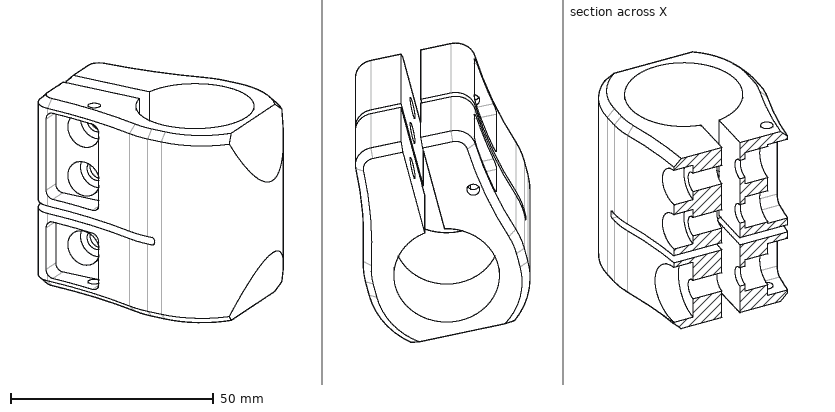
import cadquery as cq
import math

length = 60.2
height = 50.0
width = 40.4
half_width = width / 2
edge_chamfer = 2.0

barrel_radius = half_width
flat_length = 3.85
flat_end_x = length - barrel_radius
flat_start_x = flat_end_x - flat_length
ear_flat_half_width = 10.2
ear_corner_radius = 5.0
flank_start_angle = 2.4

nose_slope_height = 15.35
nose_slope_angle = 20.0

bore_x = (flat_start_x + flat_end_x) / 2
bore_diameter = 26.1
counterbore_diameter = 29.25
gap_width = 5.0
cross_slot_bottom = 20.0
cross_slot_width = 2.0
cross_slot_corner_radius = 0.7

screw_x = 12.3
screws = [(10.55, 16.0), (29.0, 10.0), (42.0, 10.0)]
screw_hole_diameter = 5.3
screw_head_diameter = 9.0
screw_head_depth = 6.3
spot_face_y = 10.5

pocket_start_x = 4.35
pocket_end_x = 20.35
pocket_floor_y = -10.3
pocket_corner_radius = 2.0
pockets = [(2.95, 18.0), (24.1, 47.1)]

pin_x = 16.25
pin_y = -12.0
pin_diameter = 3.1


def box(x_range, y_range, z_range):
    size = [end - start for start, end in (x_range, y_range, z_range)]
    corner = (x_range[0], y_range[0], z_range[0])
    return cq.Workplane("XY").box(*size, centered=False).translate(corner)


def cylinder_y(x, z, diameter, y_start, y_end):
    axis = cq.Vector(0, 1, 0)
    solid = cq.Solid.makeCylinder(diameter / 2, y_end - y_start, cq.Vector(x, y_start, z), axis)
    return cq.Workplane(obj=solid)


def cylinder_z(x, y, diameter, z_start, z_end):
    solid = cq.Solid.makeCylinder(diameter / 2, z_end - z_start, cq.Vector(x, y, z_start))
    return cq.Workplane(obj=solid)


def make_body():
    tilt = math.radians(flank_start_angle)
    corner_center = (ear_corner_radius, ear_flat_half_width)
    barrel_center = (flat_start_x, 0)
    offset_x = corner_center[0] - barrel_center[0]
    offset_y = corner_center[1] - barrel_center[1]
    radius_change = barrel_radius - ear_corner_radius
    normal_offset = offset_y * math.cos(tilt) - offset_x * math.sin(tilt)
    center_gap = (offset_x**2 + offset_y**2 - radius_change**2) / (2 * (radius_change - normal_offset))
    flank_radius = center_gap - ear_corner_radius
    flank_center = (
        corner_center[0] - center_gap * math.sin(tilt),
        corner_center[1] + center_gap * math.cos(tilt),
    )
    run = barrel_center[0] - flank_center[0]
    flank_end_tilt = math.asin(run / (flank_radius + barrel_radius))

    def arc_point(center, radius, angle):
        return center[0] - radius * math.sin(angle), center[1] + radius * math.cos(angle)

    def mirrored(point):
        return point[0], -point[1]

    corner_start = (0, ear_flat_half_width)
    corner_middle = arc_point(corner_center, ear_corner_radius, (math.pi / 2 + tilt) / 2)
    flank_start = arc_point(corner_center, ear_corner_radius, tilt)
    flank_middle = arc_point(flank_center, -flank_radius, (tilt + flank_end_tilt) / 2)
    flank_end = arc_point(barrel_center, barrel_radius, flank_end_tilt)
    barrel_middle = arc_point(barrel_center, barrel_radius, flank_end_tilt / 2)
    flat_start = (flat_start_x, half_width)
    flat_end = (flat_end_x, half_width)

    outline = (
        cq.Workplane("XY")
        .moveTo(*corner_start)
        .threePointArc(corner_middle, flank_start)
        .threePointArc(flank_middle, flank_end)
        .threePointArc(barrel_middle, flat_start)
        .lineTo(*flat_end)
        .threePointArc((length, 0), mirrored(flat_end))
        .lineTo(*mirrored(flat_start))
        .threePointArc(mirrored(barrel_middle), mirrored(flank_end))
        .threePointArc(mirrored(flank_middle), mirrored(flank_start))
        .threePointArc(mirrored(corner_middle), mirrored(corner_start))
        .close()
    )
    return outline.extrude(height).faces("<Z or >Z").edges().chamfer(edge_chamfer)


def cut_nose(body):
    setback = nose_slope_height * math.tan(math.radians(nose_slope_angle))
    for end_z, inner_z in ((0, nose_slope_height), (height, height - nose_slope_height)):
        wedge = (
            cq.Workplane("XZ")
            .polyline([(length - setback, end_z), (length, end_z), (length, inner_z)])
            .close()
            .extrude(half_width, both=True)
        )
        body = body.cut(wedge)
    return body


def cut_bore(body):
    body = body.cut(cylinder_z(bore_x, 0, bore_diameter, 0, height))
    return body.cut(cylinder_z(bore_x, 0, counterbore_diameter, cross_slot_bottom, height))


def cut_clamp_slots(body):
    gap = box((0, bore_x), (-gap_width / 2, gap_width / 2), (0, height))
    cross_slot_top = cross_slot_bottom + cross_slot_width
    cross_slot = box((0, bore_x), (-half_width, half_width), (cross_slot_bottom, cross_slot_top))
    cross_slot = cross_slot.edges("|Y and >X").fillet(cross_slot_corner_radius)
    return body.cut(gap).cut(cross_slot)


def cut_pockets(body):
    for bottom, top in pockets:
        pocket = box((pocket_start_x, pocket_end_x), (-half_width, pocket_floor_y), (bottom, top))
        body = body.cut(pocket.edges("|Y").fillet(pocket_corner_radius))
    return body


def cut_screw_holes(body):
    head_seat_y = pocket_floor_y + screw_head_depth
    for z, spot_face_diameter in screws:
        body = body.cut(cylinder_y(screw_x, z, screw_hole_diameter, -half_width, half_width))
        body = body.cut(cylinder_y(screw_x, z, screw_head_diameter, pocket_floor_y, head_seat_y))
        body = body.cut(cylinder_y(screw_x, z, spot_face_diameter, spot_face_y, half_width))
    return body


def cut_pin_holes(body):
    lowest_pocket_bottom = pockets[0][0]
    highest_pocket_top = pockets[-1][1]
    body = body.cut(cylinder_z(pin_x, pin_y, pin_diameter, 0, lowest_pocket_bottom))
    return body.cut(cylinder_z(pin_x, pin_y, pin_diameter, highest_pocket_top, height))


result = make_body()
result = cut_nose(result)
result = cut_bore(result)
result = cut_clamp_slots(result)
result = cut_pockets(result)
result = cut_screw_holes(result)
result = cut_pin_holes(result)